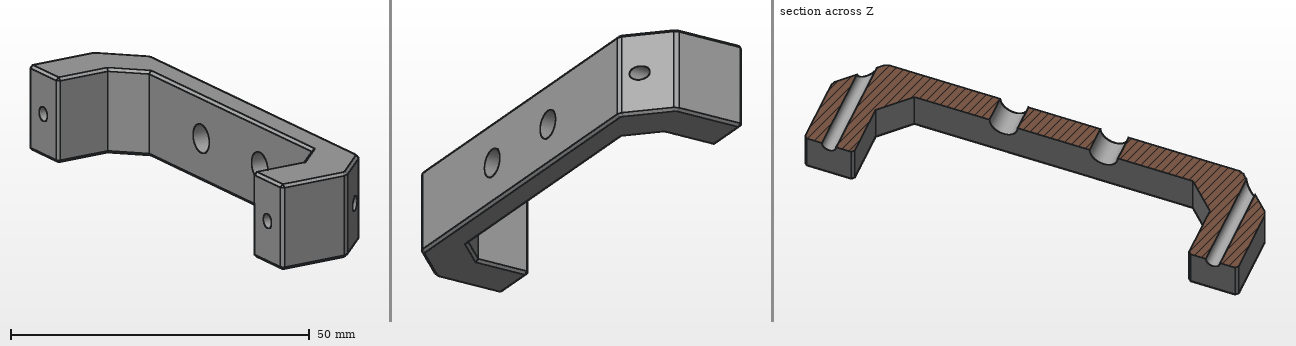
import cadquery as cq

length = 78.0
depth = 20.0
height = 15.0

leg_width = 9.0
bar_thickness = 5.0
outer_corner_cut = 7.0
inner_corner_fill = 5.0
edge_chamfer = 0.5

leg_hole_diameter = 2.5
bar_hole_diameter = 5.0
bar_hole_spacing = 18.0

half_length = length / 2
inner_half_length = half_length - leg_width
bar_inner_y = depth - bar_thickness
leg_hole_x = half_length - leg_width / 2


def mirrored_profile(right_half):
    """Close a right-half outline with its mirror image about the YZ plane."""
    left_half = [(-x, y) for x, y in reversed(right_half)]
    return cq.Workplane("XY").polyline(right_half + left_half).close()


def handle_body():
    """U-shaped handle with feet at Y = 0, chamfered along its outer edges."""
    right_half = [
        (inner_half_length - inner_corner_fill, bar_inner_y),
        (inner_half_length, bar_inner_y - inner_corner_fill),
        (inner_half_length, 0),
        (half_length, 0),
        (half_length, depth - outer_corner_cut),
        (half_length - outer_corner_cut, depth),
    ]
    body = mirrored_profile(right_half).extrude(height / 2, both=True)

    concave_edges = cq.selectors.BoxSelector(
        (-inner_half_length - edge_chamfer, edge_chamfer, -height),
        (inner_half_length + edge_chamfer, bar_inner_y + edge_chamfer, height),
    )
    convex_edges = body.edges("|Z").edges(cq.selectors.InverseSelector(concave_edges))
    rim_edges = body.faces("|Z").edges()
    return body.newObject(convex_edges.vals() + rim_edges.vals()).chamfer(edge_chamfer)


def y_holes(x, diameter):
    """Pair of holes at +x and -x passing through the full depth."""
    return (
        cq.Workplane("XZ")
        .pushPoints([(-x, 0), (x, 0)])
        .circle(diameter / 2)
        .extrude(-depth)
    )


result = (
    handle_body()
    .cut(y_holes(leg_hole_x, leg_hole_diameter))
    .cut(y_holes(bar_hole_spacing / 2, bar_hole_diameter))
)